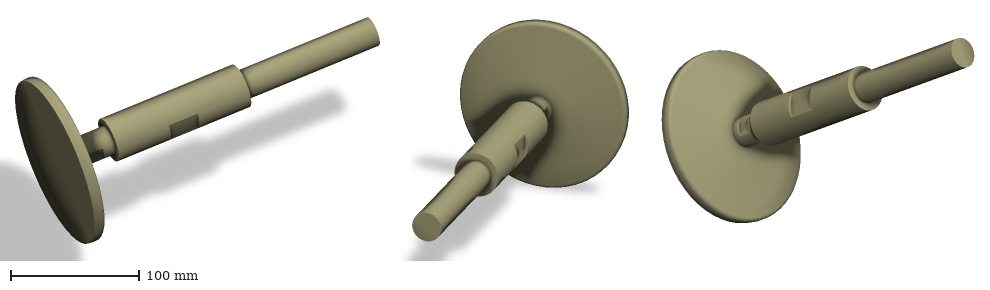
import cadquery as cq
import math

TOTAL_LENGTH = 278.0

PLATE_DIAMETER = 138.0
UNDERSIDE_DIAMETER = 136.8
TAPER_HEIGHT = 4.2
RIM_TOP = 6.7
SHOULDER_RADIUS = 3.0
CONE_TOP = 19.2

SPINDLE_DIAMETER = 24.0
NECK_FLAT_START = 24.7
NECK_FLAT_LENGTH = 12.2
NECK_ACROSS_FLATS = 19.2

SLEEVE_DIAMETER = 36.0
SLEEVE_START = 47.0
SLEEVE_LENGTH = 115.6
SLEEVE_FLAT_LENGTH = 25.0
SLEEVE_ACROSS_FLATS = 30.0


def rod(diameter, start, length):
    """Solid cylinder along +Y, beginning at Y = start."""
    plane = cq.Workplane("XZ", origin=(0, start, 0))
    return plane.circle(diameter / 2).extrude(-length)


def cut_wrench_flats(body, diameter, across_flats, start, length):
    """Cut two opposite flats, facing -X and +X, into a round body."""
    depth = (diameter - across_flats) / 2
    for side in (-1, 1):
        cutter = cq.Workplane("XY").box(2 * depth, length, diameter)
        body = body.cut(cutter.translate((side * (across_flats / 2 + depth), start + length / 2, 0)))
    return body


def make_plate():
    """Conical plate with a rounded shoulder, a straight rim and a tapered lower edge."""
    rim_radius = PLATE_DIAMETER / 2
    stem_radius = SPINDLE_DIAMETER / 2
    centre_x = rim_radius - SHOULDER_RADIUS
    reach_x = centre_x - stem_radius
    reach_y = CONE_TOP - RIM_TOP
    cone_angle = math.atan2(reach_y, reach_x) - math.asin(SHOULDER_RADIUS / math.hypot(reach_x, reach_y))
    sweep = math.pi / 2 - cone_angle

    def arc_point(angle):
        return (
            centre_x + SHOULDER_RADIUS * math.cos(angle),
            RIM_TOP + SHOULDER_RADIUS * math.sin(angle),
        )

    return (
        cq.Workplane("XY")
        .lineTo(UNDERSIDE_DIAMETER / 2, 0)
        .lineTo(rim_radius, TAPER_HEIGHT)
        .lineTo(rim_radius, RIM_TOP)
        .threePointArc(arc_point(sweep / 2), arc_point(sweep))
        .lineTo(stem_radius, CONE_TOP)
        .lineTo(0, CONE_TOP)
        .close()
        .revolve(360, (0, 0, 0), (0, 1, 0))
    )


def make_foot():
    """Plate and spindle in one piece, with wrench flats on the neck."""
    spindle = rod(SPINDLE_DIAMETER, CONE_TOP, TOTAL_LENGTH - CONE_TOP)
    spindle = cut_wrench_flats(
        spindle, SPINDLE_DIAMETER, NECK_ACROSS_FLATS, NECK_FLAT_START, NECK_FLAT_LENGTH
    )
    return make_plate().union(spindle)


def make_sleeve():
    """Tube fitted around the spindle, with wrench flats at its middle."""
    tube = rod(SLEEVE_DIAMETER, SLEEVE_START, SLEEVE_LENGTH)
    tube = tube.cut(rod(SPINDLE_DIAMETER, SLEEVE_START, SLEEVE_LENGTH))
    flat_start = SLEEVE_START + (SLEEVE_LENGTH - SLEEVE_FLAT_LENGTH) / 2
    return cut_wrench_flats(
        tube, SLEEVE_DIAMETER, SLEEVE_ACROSS_FLATS, flat_start, SLEEVE_FLAT_LENGTH
    )


foot = make_foot()
sleeve = make_sleeve()
result = cq.Compound.makeCompound([foot.val(), sleeve.val()])